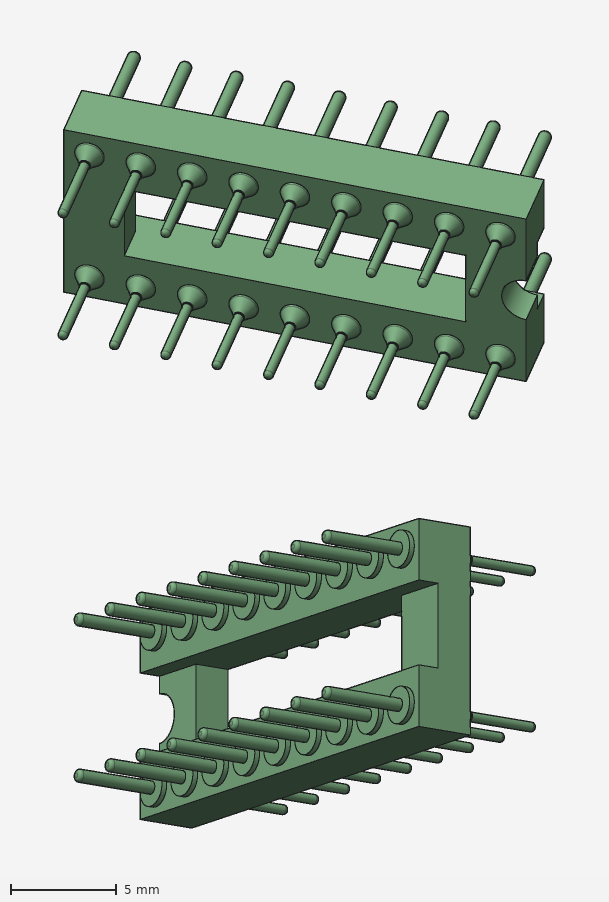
import cadquery as cq

BODY_LENGTH = 22.85
BODY_HEIGHT = 10.15
BODY_DEPTH = 3.0

WINDOW_MARGIN = 3.0
WINDOW_HEIGHT = 4.14
CHANNEL_DEPTH = 1.12
NOTCH_RADIUS = 1.21

PINS_PER_ROW = 9
PIN_PITCH = BODY_LENGTH / PINS_PER_ROW
ROW_SPACING = 3 * PIN_PITCH

OVERALL_DEPTH = 12.2
PIN_REACH = (OVERALL_DEPTH - BODY_DEPTH) / 2
FOOT_RADIUS = 1.46 / 2
FOOT_THICKNESS = 0.07
CONE_RADIUS = 1.37 / 2
CONE_LENGTH = 0.69
NECK_RADIUS = 0.55 / 2
NECK_LENGTH = 0.07
TAIL_RADIUS = 0.48 / 2
POST_RADIUS = 0.65 / 2
TIP_ROUNDING = 0.2
FLANGE_RADIUS = 1.8 / 2
FLANGE_THICKNESS = 0.27

FRONT_FACE = -BODY_DEPTH / 2
BACK_FACE = BODY_DEPTH / 2


def make_body():
    body = cq.Workplane("XY").box(BODY_LENGTH, BODY_DEPTH, BODY_HEIGHT)
    window = cq.Workplane("XY").box(BODY_LENGTH - 2 * WINDOW_MARGIN, BODY_DEPTH, WINDOW_HEIGHT)
    channel = (
        cq.Workplane("XY")
        .box(BODY_LENGTH, CHANNEL_DEPTH, WINDOW_HEIGHT)
        .translate((0, BACK_FACE - CHANNEL_DEPTH / 2, 0))
    )
    notch = (
        cq.Workplane("XZ")
        .center(BODY_LENGTH / 2, 0)
        .circle(NOTCH_RADIUS)
        .extrude(BODY_DEPTH / 2, both=True)
    )
    return body.cut(window).cut(channel).cut(notch)


def make_pin():
    """One pin on the Y axis, running right through the body."""
    tail_tip = FRONT_FACE - PIN_REACH
    post_tip = BACK_FACE + PIN_REACH
    cone_start = FRONT_FACE - FOOT_THICKNESS
    cone_end = cone_start - CONE_LENGTH
    neck_end = cone_end - NECK_LENGTH
    flange_end = BACK_FACE + FLANGE_THICKNESS
    half_profile = [
        (0, tail_tip),
        (TAIL_RADIUS, tail_tip),
        (TAIL_RADIUS, neck_end),
        (NECK_RADIUS, neck_end),
        (NECK_RADIUS, cone_end),
        (CONE_RADIUS, cone_start),
        (FOOT_RADIUS, FRONT_FACE),
        (FOOT_RADIUS, BACK_FACE),
        (FLANGE_RADIUS, BACK_FACE),
        (FLANGE_RADIUS, flange_end),
        (POST_RADIUS, flange_end),
        (POST_RADIUS, post_tip),
        (0, post_tip),
    ]
    pin = cq.Workplane("XY").polyline(half_profile).close().revolve(360, (0, 0, 0), (0, 1, 0))
    return pin.faces("<Y or >Y").edges().fillet(TIP_ROUNDING)


result = make_body()
pin = make_pin()
for row_z in (-ROW_SPACING / 2, ROW_SPACING / 2):
    for column in range(PINS_PER_ROW):
        pin_x = (column - (PINS_PER_ROW - 1) / 2) * PIN_PITCH
        result = result.union(pin.translate((pin_x, 0, row_z)))